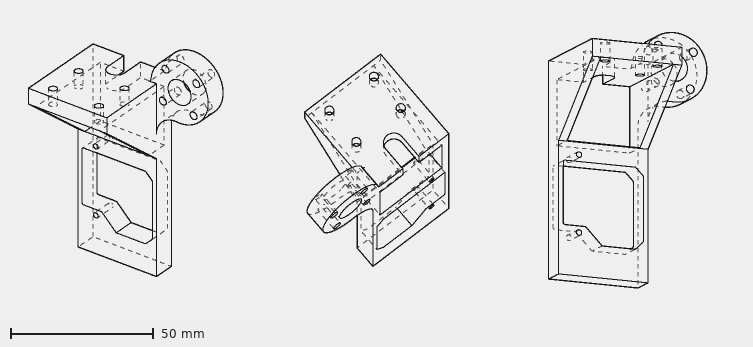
import cadquery as cq
import math

plate_width = 34.2
plate_thickness = 8.82
plate_height = 78.4
total_depth = 38.0
front_y = plate_thickness - total_depth

shelf_thickness = 6.4
gusset_thickness = 3.2
gusset_drop = 30.4
shelf_window_floor = 48.2

shelf_hole_diameter = 3.2
shelf_hole_pitch_x = 20.0
shelf_hole_pitch_y = 15.0
shelf_hole_front_margin = 5.0
slot_width = 7.3
slot_depth = 13.1

opening_margin = 1.75
opening_bottom = 11.65
opening_top = 41.1
opening_step_z = 18.0
opening_step_x = 10.3
opening_chamfer = 3.0
opening_corner_radius = 0.7
opening_screw_diameter = 2.0
opening_screw_x = 7.8
opening_screw_low_z = 15.6
opening_screw_pitch = 28.0

ring_radius = 12.5
ring_bore_diameter = 10.0
ring_overhang = 10.05
ring_center_x = plate_width + ring_overhang
ring_center_z = plate_height
ring_hole_diameter = 3.0
ring_hole_circle_radius = 9.5
ring_hole_count = 4
ring_hole_start_angle = 40.0
full_turn = 360.0
top_fillet_radius = 1.0
web_fillet_radius = 8.0


def back_face_plane():
    """Workplane on the back face; extruding it runs forward, toward -Y."""
    return cq.Workplane("XZ", origin=(0, plate_thickness, 0))


def make_bracket():
    """Plate, shelf and gussets as one side profile, hollowed between the gussets."""
    side_profile = [
        (plate_thickness, 0),
        (plate_thickness, plate_height),
        (front_y, plate_height),
        (front_y, plate_height - shelf_thickness),
        (0, plate_height - gusset_drop),
        (0, 0),
    ]
    body = cq.Workplane("YZ").polyline(side_profile).close().extrude(plate_width)
    window_height = plate_height - shelf_thickness - shelf_window_floor
    window = cq.Workplane("XY").box(
        plate_width - 2 * gusset_thickness, total_depth, window_height, centered=False
    )
    return body.cut(window.translate((gusset_thickness, front_y, shelf_window_floor)))


def make_shelf_cuts():
    """Four screw holes and the round-ended slot open to the back."""
    center_x = plate_width / 2
    holes_center_y = front_y + shelf_hole_front_margin + shelf_hole_pitch_y / 2
    shelf_bottom = plate_height - shelf_thickness
    shelf_plane = cq.Workplane("XY", origin=(center_x, 0, shelf_bottom))
    holes = (
        shelf_plane.center(0, holes_center_y)
        .rarray(shelf_hole_pitch_x, shelf_hole_pitch_y, 2, 2)
        .circle(shelf_hole_diameter / 2)
        .extrude(shelf_thickness)
    )
    half_width = slot_width / 2
    slot_end_y = plate_thickness - slot_depth
    slot = (
        shelf_plane.moveTo(-half_width, plate_thickness)
        .lineTo(-half_width, slot_end_y + half_width)
        .threePointArc((0, slot_end_y), (half_width, slot_end_y + half_width))
        .lineTo(half_width, plate_thickness)
        .close()
        .extrude(shelf_thickness)
    )
    return holes.union(slot)


def make_opening():
    """Stepped, chamfered opening through the lower plate with its two screw holes."""
    left = opening_margin
    right = plate_width - opening_margin
    step_drop = opening_step_z - opening_bottom
    outline = [
        (left, opening_step_z),
        (left, opening_top),
        (right - opening_chamfer, opening_top),
        (right, opening_top - opening_chamfer),
        (right, opening_bottom + opening_chamfer),
        (right - opening_chamfer, opening_bottom),
        (opening_step_x + step_drop, opening_bottom),
        (opening_step_x, opening_step_z),
    ]
    opening = back_face_plane().polyline(outline).close().extrude(plate_thickness)
    step_foot = cq.selectors.NearestToPointSelector(
        (opening_step_x + step_drop, plate_thickness / 2, opening_bottom)
    )
    rounded_edges = opening.edges("|Y").edges(cq.selectors.InverseSelector(step_foot))
    opening = rounded_edges.fillet(opening_corner_radius)
    screw_points = [
        (opening_screw_x, opening_screw_low_z),
        (opening_screw_x, opening_screw_low_z + opening_screw_pitch),
    ]
    screws = back_face_plane().pushPoints(screw_points).circle(opening_screw_diameter / 2)
    return opening.union(screws.extrude(plate_thickness))


def make_ring():
    """Round boss with the two fillet webs that blend it into the plate."""
    disc = back_face_plane().center(ring_center_x, ring_center_z).circle(ring_radius)
    ring = disc.extrude(plate_thickness)

    center_distance = ring_radius + top_fillet_radius
    top_fillet_x = ring_center_x - math.sqrt(center_distance**2 - top_fillet_radius**2)
    touch_ratio = ring_radius / center_distance
    touch_x = ring_center_x + (top_fillet_x - ring_center_x) * touch_ratio
    touch_z = ring_center_z + top_fillet_radius * touch_ratio
    top_web = (
        back_face_plane()
        .moveTo(top_fillet_x, plate_height)
        .radiusArc((touch_x, touch_z), -top_fillet_radius)
        .lineTo(ring_center_x, ring_center_z)
        .close()
        .extrude(plate_thickness)
    )

    arc_center_x = plate_width + web_fillet_radius
    arc_center_distance = ring_radius + web_fillet_radius
    arc_offset_x = ring_center_x - arc_center_x
    arc_drop = math.sqrt(arc_center_distance**2 - arc_offset_x**2)
    web_touch_ratio = ring_radius / arc_center_distance
    web_touch_x = ring_center_x - arc_offset_x * web_touch_ratio
    web_touch_z = ring_center_z - arc_drop * web_touch_ratio
    lower_web = (
        back_face_plane()
        .moveTo(ring_center_x, ring_center_z)
        .lineTo(web_touch_x, web_touch_z)
        .radiusArc((plate_width, ring_center_z - arc_drop), -web_fillet_radius)
        .lineTo(plate_width, ring_center_z)
        .close()
        .extrude(plate_thickness)
    )
    return ring.union(top_web).union(lower_web)


def make_ring_holes():
    """Central bore and the screw circle around it."""
    ring_plane = back_face_plane().center(ring_center_x, ring_center_z)
    bore = ring_plane.circle(ring_bore_diameter / 2).extrude(plate_thickness)
    screws = (
        ring_plane.polarArray(
            ring_hole_circle_radius, ring_hole_start_angle, full_turn, ring_hole_count
        )
        .circle(ring_hole_diameter / 2)
        .extrude(plate_thickness)
    )
    return bore.union(screws)


bracket = make_bracket().union(make_ring())
result = bracket.cut(make_shelf_cuts()).cut(make_opening()).cut(make_ring_holes())